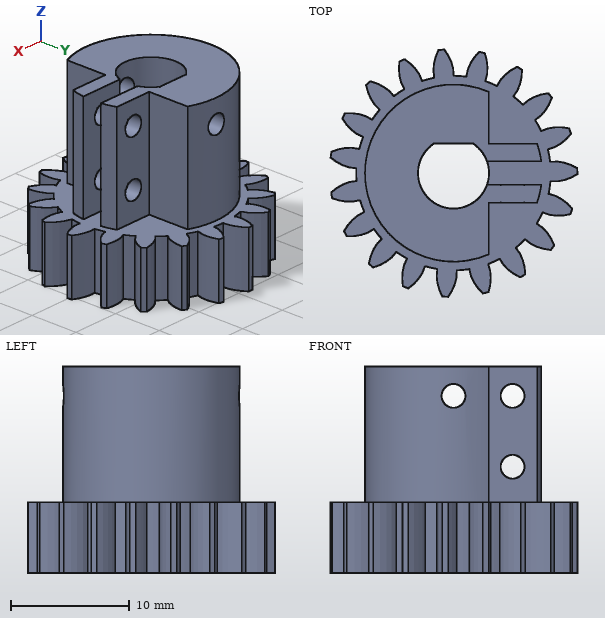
import cadquery as cq
import math

module = 1.0
dedendum_factor = 1.25
tooth_count = 19
tooth_pitch_angle = 360 / tooth_count
gear_height = 6.0
pitch_radius = module * tooth_count / 2
tip_radius = pitch_radius + module
root_radius = pitch_radius - dedendum_factor * module
first_tooth_angle = 0.9

root_half_thickness = 0.835
flank_start_radius = 8.82
flank_half_thicknesses = [0.85, 0.745, 0.55, 0.25]

hub_radius = 7.5
total_height = 17.5
hub_height = total_height - gear_height

bore_radius = 3.0
bore_flat_y = 2.5

slit_width = 2.0
ear_outer_y = 2.5
pocket_start_x = bore_radius

cross_hole_diameter = 2.0
clamp_hole_x = 5.0
upper_hole_z = 15.0
lower_hole_z = 9.0
cross_holes = [(0.0, upper_hole_z), (clamp_hole_x, upper_hole_z), (clamp_hole_x, lower_hole_z)]


def tooth_points():
    """One tooth pointing along +X, counter-clockwise from its lower root corner."""
    facet_count = len(flank_half_thicknesses) - 1
    facet_length = (tip_radius - flank_start_radius) / facet_count
    root_x = math.sqrt(root_radius**2 - root_half_thickness**2)
    upper_flank = [(root_x, root_half_thickness)]
    for index, half_thickness in enumerate(flank_half_thicknesses):
        upper_flank.append((flank_start_radius + index * facet_length, half_thickness))
    lower_flank = [(x, -y) for x, y in upper_flank]
    return lower_flank + upper_flank[::-1]


def rotated(point, degrees):
    """The point turned about the gear axis."""
    x, y = point
    cosine = math.cos(math.radians(degrees))
    sine = math.sin(math.radians(degrees))
    return (x * cosine - y * sine, x * sine + y * cosine)


def make_gear():
    """Gear body; each gap floor has one extra corner midway between its teeth."""
    outline = []
    for index in range(tooth_count):
        angle = first_tooth_angle + index * tooth_pitch_angle
        outline += [rotated(point, angle) for point in tooth_points()]
        outline.append(rotated((root_radius, 0), angle + tooth_pitch_angle / 2))
    return cq.Workplane("XY").polyline(outline).close().extrude(gear_height)


def hub_cutter(x_start, y_start, y_end):
    """Box over the full hub height, reaching from x_start past the hub's +X side."""
    return (
        cq.Workplane("XY", origin=(x_start, y_start, gear_height))
        .box(hub_radius, y_end - y_start, hub_height, centered=False)
    )


def make_hub():
    """Round hub with its clamp slit, side pockets and cross holes."""
    hub = cq.Workplane("XY", origin=(0, 0, gear_height)).circle(hub_radius).extrude(hub_height)
    hub = hub.cut(hub_cutter(0, -slit_width / 2, slit_width / 2))
    hub = hub.cut(hub_cutter(pocket_start_x, ear_outer_y, hub_radius))
    hub = hub.cut(hub_cutter(pocket_start_x, -hub_radius, -ear_outer_y))
    drills = (
        cq.Workplane("XZ")
        .pushPoints(cross_holes)
        .circle(cross_hole_diameter / 2)
        .extrude(hub_radius, both=True)
    )
    return hub.cut(drills)


def make_bore():
    """D-shaped cutter through the whole part, flat on the +Y side."""
    flat_half_width = math.sqrt(bore_radius**2 - bore_flat_y**2)
    return (
        cq.Workplane("XY")
        .moveTo(-flat_half_width, bore_flat_y)
        .threePointArc((0, -bore_radius), (flat_half_width, bore_flat_y))
        .close()
        .extrude(total_height)
    )


result = make_gear().union(make_hub()).cut(make_bore())